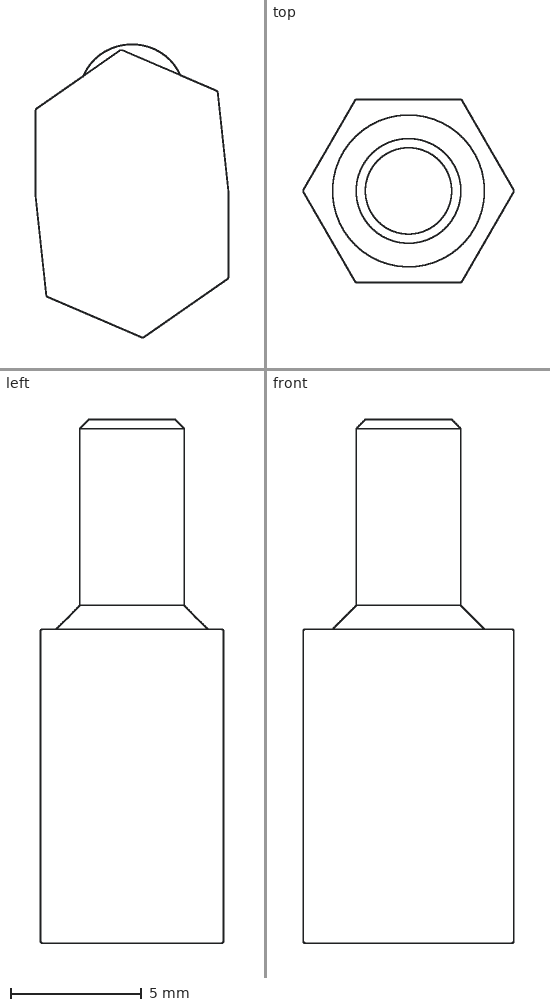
import cadquery as cq
import math

side_count = 6
across_flats = 7.0
body_height = 12.0
edge_radius = 0.1

stud_diameter = 4.0
stud_length = 8.0
tip_chamfer = 0.35

collar_base_diameter = 5.8
collar_height = (collar_base_diameter - stud_diameter) / 2


def make_body():
    """Hexagonal prism with two corners on the X axis and every edge rounded."""
    across_corners = across_flats / math.cos(math.pi / side_count)
    prism = cq.Workplane("XY").polygon(side_count, across_corners).extrude(body_height)
    return prism.edges().fillet(edge_radius)


def make_stud():
    """Stud with a conical collar at its root and a chamfered tip, as one revolved profile."""
    stud_radius = stud_diameter / 2
    tip_height = body_height + stud_length
    profile = (
        cq.Workplane("XZ")
        .moveTo(0, body_height)
        .lineTo(collar_base_diameter / 2, body_height)
        .lineTo(stud_radius, body_height + collar_height)
        .lineTo(stud_radius, tip_height - tip_chamfer)
        .lineTo(stud_radius - tip_chamfer, tip_height)
        .lineTo(0, tip_height)
        .close()
    )
    return profile.revolve(360, (0, 0, 0), (0, 1, 0))


result = make_body().union(make_stud())